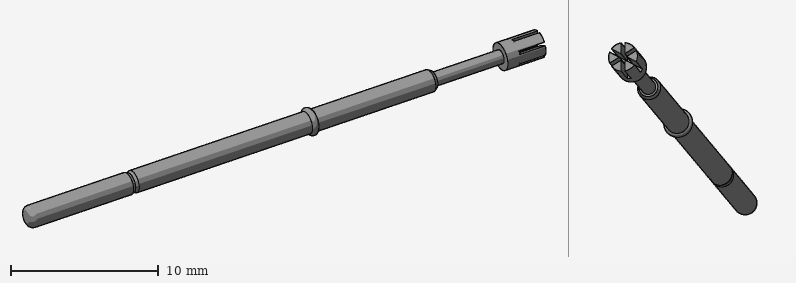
import cadquery as cq
import math

TOTAL_LENGTH = 40.3

BARREL_LENGTH = 32.0
BARREL_RADIUS = 0.8
MOUTH_LENGTH = 0.25
MOUTH_INSET = 0.15
TAIL_ROUND = 0.4

RING_CENTRE = 22.3
RING_RADIUS = 1.0
RING_WIDTH = 0.5

GROOVE_CENTRE = 8.2
GROOVE_WIDTH = 0.44
GROOVE_DEPTH = 0.1

STEM_RADIUS = 0.5
HEAD_LENGTH = 3.0
HEAD_RADIUS = 1.0

SLOT_COUNT = 3
SLOT_WIDTH = 0.25
SLOT_DEPTH = 2.0


def make_barrel():
    """Barrel with rounded tail, crimp groove, press ring and tapered mouth."""
    groove_half = GROOVE_WIDTH / 2
    ring_half = RING_WIDTH / 2
    bend = TAIL_ROUND * (1 - math.sqrt(0.5))
    profile = (
        cq.Workplane("XY")
        .lineTo(BARREL_RADIUS - TAIL_ROUND, 0)
        .threePointArc((BARREL_RADIUS - bend, bend), (BARREL_RADIUS, TAIL_ROUND))
        .lineTo(BARREL_RADIUS, GROOVE_CENTRE - groove_half)
        .lineTo(BARREL_RADIUS - GROOVE_DEPTH, GROOVE_CENTRE)
        .lineTo(BARREL_RADIUS, GROOVE_CENTRE + groove_half)
        .lineTo(BARREL_RADIUS, RING_CENTRE - ring_half)
        .threePointArc((RING_RADIUS, RING_CENTRE), (BARREL_RADIUS, RING_CENTRE + ring_half))
        .lineTo(BARREL_RADIUS, BARREL_LENGTH - MOUTH_LENGTH)
        .lineTo(BARREL_RADIUS - MOUTH_INSET, BARREL_LENGTH)
        .lineTo(0, BARREL_LENGTH)
        .close()
    )
    return profile.revolve(360, (0, 0, 0), (0, 1, 0))


def make_plunger():
    """Stem and slotted crown head."""
    head_start = TOTAL_LENGTH - HEAD_LENGTH
    profile = (
        cq.Workplane("XY")
        .moveTo(0, BARREL_LENGTH)
        .lineTo(STEM_RADIUS, BARREL_LENGTH)
        .lineTo(STEM_RADIUS, head_start)
        .lineTo(HEAD_RADIUS, head_start)
        .lineTo(HEAD_RADIUS, TOTAL_LENGTH)
        .lineTo(0, TOTAL_LENGTH)
        .close()
    )
    plunger = profile.revolve(360, (0, 0, 0), (0, 1, 0))
    slot_span = 2 * HEAD_RADIUS + 2 * SLOT_WIDTH
    slot = cq.Workplane("XY").box(SLOT_WIDTH, SLOT_DEPTH, slot_span)
    slot = slot.translate((0, TOTAL_LENGTH - SLOT_DEPTH / 2, 0))
    for index in range(SLOT_COUNT):
        angle = index * 180 / SLOT_COUNT
        plunger = plunger.cut(slot.rotate((0, 0, 0), (0, 1, 0), angle))
    return plunger


result = make_barrel().union(make_plunger())